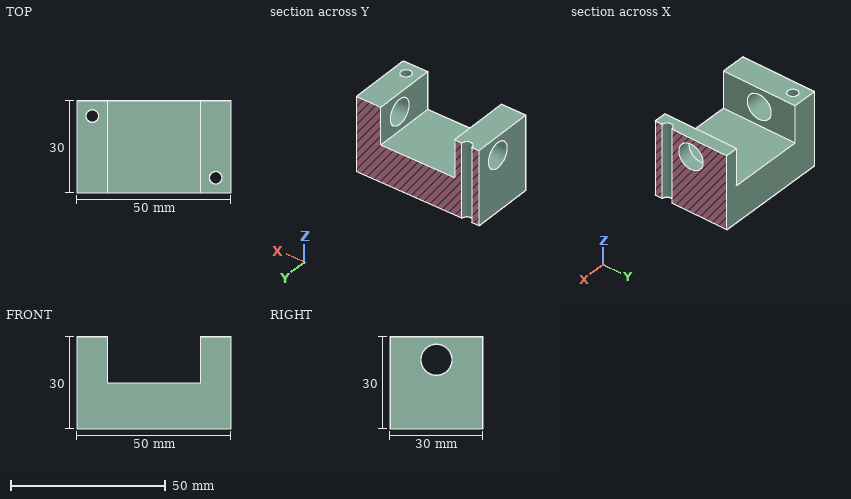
import cadquery as cq

length = 50
width = 30
height = 30

wall_thickness = 10
floor_thickness = 15

bore_diameter = 10
screw_hole_diameter = 4
screw_hole_edge_distance = 5

wall_height = height - floor_thickness
slot_length = length - 2 * wall_thickness
bore_height = floor_thickness + wall_height / 2
screw_hole_x = (length - wall_thickness) / 2
screw_hole_y = width / 2 - screw_hole_edge_distance


def make_body():
    """U-shaped block standing on Z = 0, centred in X and Y."""
    block = cq.Workplane("XY").box(length, width, height, centered=(True, True, False))
    slot = (
        cq.Workplane("XY", origin=(0, 0, floor_thickness))
        .box(slot_length, width, wall_height, centered=(True, True, False))
    )
    return block.cut(slot)


def make_bore():
    """Horizontal bore along X, passing through both walls."""
    return (
        cq.Workplane("YZ", origin=(-length / 2, 0, bore_height))
        .circle(bore_diameter / 2)
        .extrude(length)
    )


def make_screw_holes():
    """Vertical through holes, one per wall at diagonally opposite corners."""
    return (
        cq.Workplane("XY")
        .pushPoints([(-screw_hole_x, screw_hole_y), (screw_hole_x, -screw_hole_y)])
        .circle(screw_hole_diameter / 2)
        .extrude(height)
    )


result = make_body().cut(make_bore()).cut(make_screw_holes())